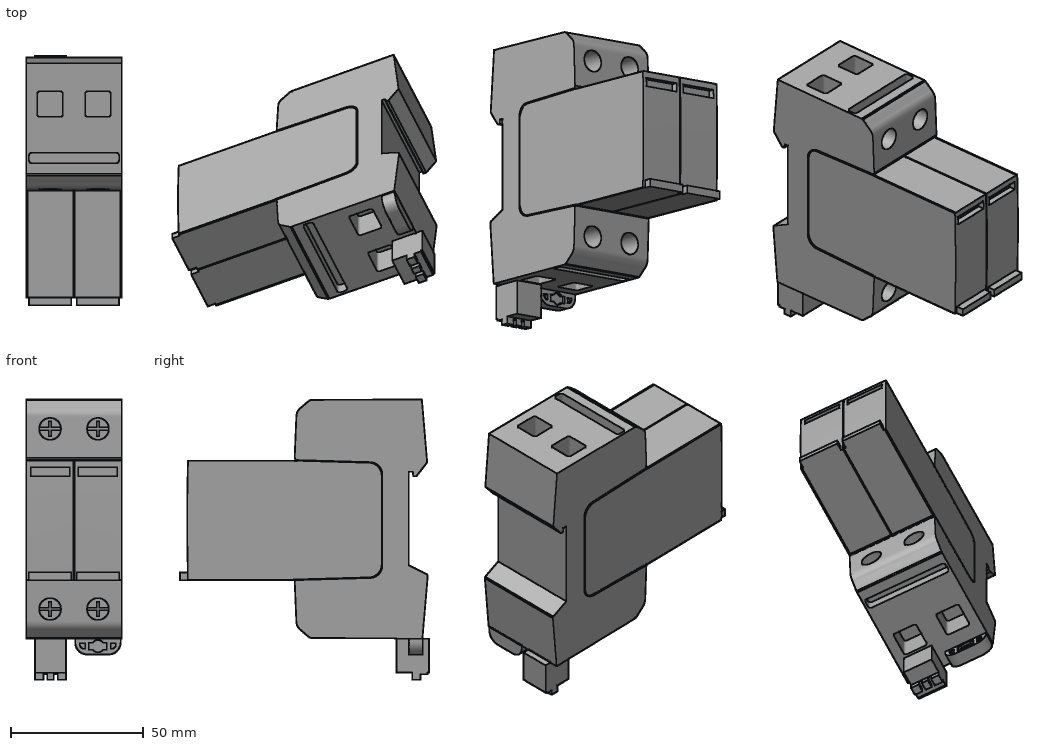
import cadquery as cq


width = 36.0
height = 90.1
face_slope = 0.2
front_y = -43.0
middle_z = height / 2
rear_top_y = 5.0
rear_bottom_y = 5.2
nose_corners = [(-36.8, 0), (-37.4, 0.2), (-38.4, 1.1), (-40.3, 2.7)]
nose_arc_middle = (-41.8, 4.3)
nose_arc_end = (-42.4, 6.3)
rail_seat_points = [
    (7.2, 23.6), (7.0, 24.2), (0, 27.7),
    (0, 62.7), (1.5, 62.7), (1.7, 61.0), (2.9, 61.0), (7.0, 66.3),
]
pole_x = width / 4

module_top = 67.0
module_bottom = 22.0
module_front = -83.1
module_bulge = 0.3
cut_margin = 1.1
module_gap = 0.4
seat_rear = -10.2
seat_taper = 1.0
seat_radius = 4.5
seat_gap = 0.3
mouth_chamfer_width = 0.4
mouth_chamfer_height = 1.2
groove_depth = 0.4
edge_step_width = 0.5
edge_step_height = 0.1

window_width, window_height, window_depth = 14.7, 3.3, 2.3
window_z = 62.8
tab_width, tab_height, tab_length = 16.0, 3.0, 3.1
tab_root = 1.1

screw_z_offset = 33.9
screw_radius = 4.1
screw_depth = 12.7
cross_width, cross_height, cross_depth = 1.1, 5.6, 0.8
entry_size, entry_radius, entry_depth, entry_y = 9.6, 1.0, 12.7, -10.5
slot_length, slot_width, slot_radius, slot_depth, slot_y = 33.9, 4.0, 1.2, 5.3, -30.7

root_height = 1.1
root_rear = 4.8

connector_left = -14.7
connector_width = 11.7
connector_rear = 7.7
connector_front = -4.6
connector_base = -12.8
lip_base = -13.4
lip_rear = 7.1
pin_rear, pin_front = 4.4, 1.3
pin_base = -15.5
pin_slot_width = 1.4
pin_slot_offsets = (3.9, 7.8)

latch_width = 17.2
latch_base = -6.0
latch_radius = 4.6
latch_rear, latch_front = 5.3, 0.0
recess_depth = 1.1
recess_z = -2.9
keyway_width, keyway_height, keyway_radius = 6.8, 2.6, 2.3
corner_recess_points = [(-6.8, -2.5), (-6.8, -1.8), (-4.9, -1.8), (-4.9, -3.8), (-5.5, -3.8)]
corner_recess_arc_middle = (-6.3, -3.3)
corner_recess_arc_end = corner_recess_points[0]


def box(x_min, x_max, y_min, y_max, z_min, z_max):
    size = (x_max - x_min, y_max - y_min, z_max - z_min)
    return cq.Workplane("XY").box(*size, centered=False).translate((x_min, y_min, z_min))


def across_width(outline):
    """Extrude a YZ outline over the full width."""
    return outline.extrude(width / 2, both=True)


def make_housing():
    def at_top(point):
        y, drop = point
        return (y, height - face_slope - drop)

    def at_bottom(point):
        y, drop = point
        return (y, face_slope + drop)

    outline = cq.Workplane("YZ").moveTo(rear_top_y, height)
    for point in nose_corners:
        outline = outline.lineTo(*at_top(point))
    outline = (
        outline.threePointArc(at_top(nose_arc_middle), at_top(nose_arc_end))
        .lineTo(front_y, module_top + mouth_chamfer_height)
        .lineTo(front_y + mouth_chamfer_width, module_top)
        .lineTo(front_y + mouth_chamfer_width, module_bottom)
        .lineTo(front_y, module_bottom)
        .lineTo(*at_bottom(nose_arc_end))
        .threePointArc(at_bottom(nose_arc_middle), at_bottom(nose_corners[-1]))
    )
    for point in reversed(nose_corners[:-1]):
        outline = outline.lineTo(*at_bottom(point))
    outline = outline.lineTo(rear_bottom_y, 0)
    for point in rail_seat_points:
        outline = outline.lineTo(*point)
    outline = outline.close()
    return across_width(outline)


def make_module_body(growth=0.0):
    """Side profile shared by both modules, grown outwards by the given amount."""
    rear = seat_rear + growth
    top = module_top + growth
    bottom = module_bottom - growth
    outline = (
        cq.Workplane("YZ")
        .moveTo(rear, bottom + seat_gap + seat_taper)
        .lineTo(front_y - seat_gap, bottom + seat_gap)
        .lineTo(front_y - seat_gap, bottom)
        .lineTo(module_front, bottom)
        .threePointArc((module_front - module_bulge, (top + bottom) / 2), (module_front, top))
        .lineTo(front_y - seat_gap, top)
        .lineTo(rear, top - seat_taper)
        .close()
    )
    return across_width(outline).faces(">Y").edges("|X").fillet(seat_radius + growth)


def make_seat_groove():
    """Groove around the modules, open at both sides and at the front of the housing."""
    ring = make_module_body(seat_gap).cut(make_module_body())
    core_half = width / 2 - groove_depth
    core = box(-core_half, core_half, front_y + 2 * groove_depth, 0, 0, height)
    in_housing = box(-width / 2, width / 2, front_y, 0, 0, height)
    return ring.intersect(in_housing).cut(core)


def shape_modules(body):
    """Part the modules, step their outer edges, add windows and tabs."""
    body = body.cut(box(-module_gap / 2, module_gap / 2, module_front - cut_margin, front_y, 0, height))
    for x_min in (-width / 2, width / 2 - edge_step_width):
        for z_min in (module_bottom, module_top - edge_step_height):
            body = body.cut(
                box(x_min, x_min + edge_step_width, module_front - cut_margin, front_y,
                    z_min, z_min + edge_step_height)
            )
    for x in (-pole_x, pole_x):
        body = body.cut(
            box(x - window_width / 2, x + window_width / 2,
                module_front - cut_margin, module_front + window_depth,
                window_z - window_height / 2, window_z + window_height / 2)
        )
        body = body.union(
            box(x - tab_width / 2, x + tab_width / 2,
                module_front - tab_length, module_front + tab_root,
                module_bottom, module_bottom + tab_height)
        )
    return body


def make_screw_hole(x, z):
    """Screw access hole; its floor is a screw head with a cross recess."""
    floor_y = front_y + screw_depth
    hole = (
        cq.Workplane("XZ", origin=(x, front_y, z))
        .circle(screw_radius)
        .extrude(screw_depth, both=True)
    )
    cross = (
        cq.Workplane("XZ", origin=(x, floor_y, z))
        .rect(2 * screw_radius, cross_width)
        .extrude(-cross_depth)
        .union(
            cq.Workplane("XZ", origin=(x, floor_y, z))
            .rect(cross_width, cross_height)
            .extrude(-cross_depth)
        )
    )
    bore_limit = (
        cq.Workplane("XZ", origin=(x, floor_y, z))
        .circle(screw_radius)
        .extrude(-cross_depth)
    )
    return hole.union(cross.intersect(bore_limit))


def make_pocket(x, y, length, breadth, radius, depth):
    """Rounded pocket sunk from the upper end face."""
    return (
        box(x - length / 2, x + length / 2, y - breadth / 2, y + breadth / 2, height - depth, height)
        .edges("|Z")
        .fillet(radius)
    )


def cut_terminals(body):
    pockets = make_pocket(0, slot_y, slot_length, slot_width, slot_radius, slot_depth)
    for x in (-pole_x, pole_x):
        pockets = pockets.union(
            make_pocket(x, entry_y, entry_size, entry_size, entry_radius, entry_depth)
        )
        for z in (middle_z - screw_z_offset, middle_z + screw_z_offset):
            body = body.cut(make_screw_hole(x, z))
    return body.cut(pockets).cut(pockets.mirror("XY", (0, 0, middle_z)))


def make_connector():
    right = connector_left + connector_width
    body = (
        box(connector_left, right, connector_front, connector_rear, connector_base, 0)
        .union(box(connector_left, right, connector_front, root_rear, 0, root_height))
        .union(box(connector_left, right, pin_front, lip_rear, lip_base, connector_base))
        .union(box(connector_left, right, pin_front, pin_rear, pin_base, lip_base))
    )
    for offset in pin_slot_offsets:
        x = connector_left + offset
        body = body.cut(
            box(x - pin_slot_width / 2, x + pin_slot_width / 2, pin_front, pin_rear,
                pin_base, lip_base)
        )
    return body


def make_latch():
    plate = (
        box(-latch_width / 2, latch_width / 2, latch_front, latch_rear, latch_base, 0)
        .faces("<Z")
        .edges("|Y")
        .fillet(latch_radius)
    )
    root = box(-latch_width / 2, latch_width / 2, latch_front, root_rear, 0, root_height)
    face = cq.Workplane("XZ", origin=(0, latch_front, 0))
    keyway = (
        face.center(0, recess_z)
        .rect(keyway_width, keyway_height)
        .extrude(-recess_depth)
        .union(face.center(0, recess_z).circle(keyway_radius).extrude(-recess_depth))
    )
    corner_recess = (
        face.polyline(corner_recess_points)
        .threePointArc(corner_recess_arc_middle, corner_recess_arc_end)
        .close()
        .extrude(-recess_depth)
    )
    plate = plate.cut(keyway).cut(corner_recess).cut(corner_recess.mirror("YZ"))
    return plate.union(root).translate((pole_x, 0, 0))


housing = cut_terminals(make_housing().cut(make_seat_groove()))
modules = shape_modules(make_module_body())
result = housing.union(modules).union(make_connector()).union(make_latch())